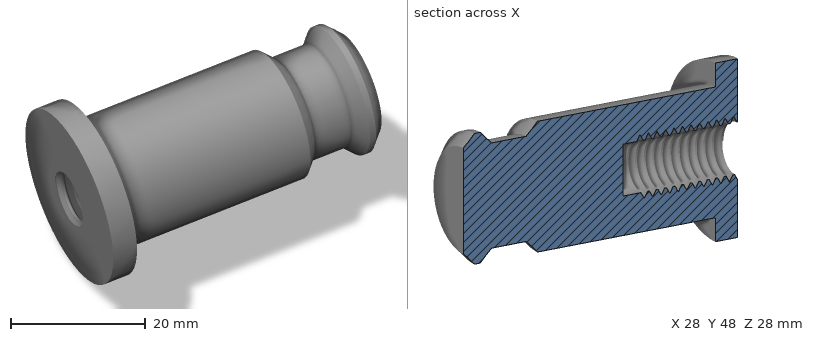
import cadquery as cq
import math

length = 48.0
flange_diameter = 28.0
flange_thickness = 4.0
body_diameter = 20.5
neck_diameter = 16.5
neck_start = 37.0
neck_length = 6.0
bevel = (body_diameter - neck_diameter) / 2

bore_diameter = 8.0
bore_depth = 20.0
thread_diameter = 10.0
thread_pitch = 1.5
thread_turns = 12
thread_flank_angle = 60.0
thread_overlap = 0.1


def revolved_pin():
    flange_radius = flange_diameter / 2
    body_radius = body_diameter / 2
    neck_radius = neck_diameter / 2
    neck_end = neck_start + neck_length
    return (
        cq.Workplane("XY")
        .moveTo(0, 0)
        .lineTo(flange_radius, 0)
        .lineTo(flange_radius, flange_thickness)
        .lineTo(body_radius, flange_thickness)
        .lineTo(body_radius, neck_start - bevel)
        .lineTo(neck_radius, neck_start)
        .lineTo(neck_radius, neck_end)
        .lineTo(body_radius, neck_end + bevel)
        .lineTo(body_radius, length - bevel)
        .lineTo(neck_radius, length)
        .lineTo(0, length)
        .close()
        .revolve(360, (0, 0, 0), (0, 1, 0))
    )


def bore_cutter():
    return cq.Workplane("XZ").circle(bore_diameter / 2).extrude(-bore_depth)


def thread_cutter():
    """Right-hand V groove, starting a quarter pitch outside the flange face."""
    crest_radius = thread_diameter / 2
    root_radius = bore_diameter / 2 - thread_overlap
    half_width = (crest_radius - root_radius) * math.tan(math.radians(thread_flank_angle / 2))
    path = cq.Wire.makeHelix(thread_pitch, thread_pitch * thread_turns, bore_diameter / 2)
    groove = (
        cq.Workplane("XZ")
        .polyline([(root_radius, -half_width), (crest_radius, 0), (root_radius, half_width)])
        .close()
        .sweep(cq.Workplane(path), isFrenet=True)
    )
    return groove.rotate((0, 0, 0), (1, 0, 0), -90).translate((0, -thread_pitch / 4, 0))


result = revolved_pin().cut(bore_cutter()).cut(thread_cutter())